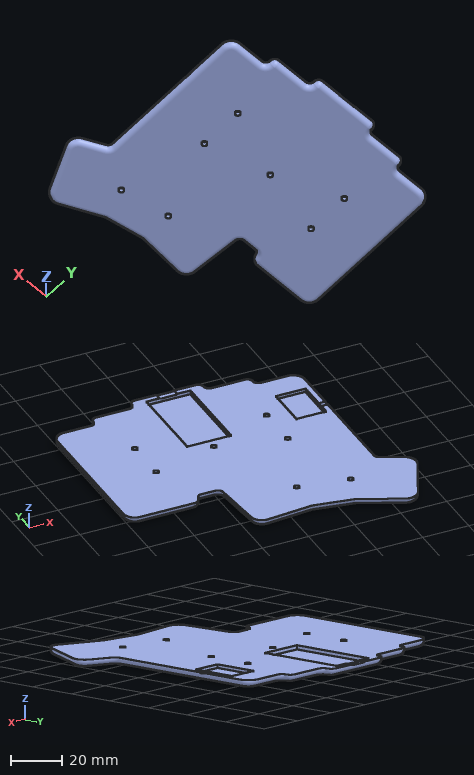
import cadquery as cq
import math

thickness = 3.0
bottom_round = 2.4

columns = 5
rows = 3
grid_width = 95.3
pitch = grid_width / columns
stagger = pitch / 4
border = 6.0
corner_radius = 5.0
step_radius = 2.3

left = -border
right = grid_width + border
bottom = -border
notch = bottom + stagger
shoulder = rows * pitch + border
upper = shoulder + stagger
top = upper + stagger

notch_outer_x = 24.6
notch_inner_x = 26.3
notch_radius = 3.0

wall = 2.9
pocket_start = 32.9
top_pocket_column = 2
top_pocket_depth = 1.7
side_pocket_width = 12.9
side_pocket_length = 18.7
side_pocket_depth = 1.5

channel_depth = 0.3
port_width = 7.7
port_end_radius = 1.6
cable_diameter = 4.7
cable_y = 38.4

hole_diameter = 2.2
hole_columns = (1, 4)
hole_rows = (1, 2)
thumb_holes = [(63.8, -12.5), (85.4, -16.4)]

outline = [
    (left, bottom, corner_radius),
    (notch_outer_x, bottom, notch_radius),
    (notch_inner_x, notch, step_radius),
    (36.0, notch, step_radius),
    (38.4, -29.7, corner_radius),
    (63.5, -27.6, 0),
    (80.7, -30.6, 0),
    (103.0, -40.8, corner_radius),
    (116.1, -12.9, corner_radius),
    (right, -5.9, step_radius),
    (right, shoulder, corner_radius),
    (4 * pitch + border, shoulder, step_radius),
    (4 * pitch + border, upper, step_radius),
    (3 * pitch + border, upper, step_radius),
    (3 * pitch + border, top, step_radius),
    (2 * pitch - border, top, step_radius),
    (2 * pitch - border, upper, step_radius),
    (pitch - border, upper, step_radius),
    (pitch - border, shoulder, step_radius),
    (left, shoulder, corner_radius),
]


def rounded_polygon(corners):
    """Closed outline through the corners, each rounded by a tangent arc of its own radius."""
    path = cq.Workplane("XY")
    for i, (x, y, radius) in enumerate(corners):
        corner = cq.Vector(x, y)
        previous_x, previous_y, _ = corners[i - 1]
        next_x, next_y, _ = corners[(i + 1) % len(corners)]
        to_previous = (cq.Vector(previous_x, previous_y) - corner).normalized()
        to_next = (cq.Vector(next_x, next_y) - corner).normalized()
        half_angle = to_previous.getAngle(to_next) / 2
        tangent_length = radius / math.tan(half_angle)
        arc_start = corner + to_previous * tangent_length
        arc_end = corner + to_next * tangent_length
        bisector = (to_previous + to_next).normalized()
        arc_middle = corner + bisector * (radius / math.sin(half_angle) - radius)

        if i == 0:
            path = path.moveTo(arc_start.x, arc_start.y)
        else:
            path = path.lineTo(arc_start.x, arc_start.y)
        if radius > 0:
            path = path.threePointArc((arc_middle.x, arc_middle.y), (arc_end.x, arc_end.y))
    return path.close()


def plate():
    """Flat plate whose bottom edge is rounded all the way round."""
    body = rounded_polygon(outline).extrude(thickness)
    return body.faces("<Z").edges().fillet(bottom_round)


def pocket(x, y, width, length, depth):
    """Cutter for a rectangular pocket with its lower left corner at (x, y)."""
    cutter = cq.Workplane("XY").box(width, length, depth, centered=False)
    return cutter.translate((x, y, thickness - depth))


def channel_axis_height(radius):
    """Height at which a round bottom of this radius dips channel_depth below the top face."""
    return thickness - channel_depth + radius


def port_channel():
    """Cutter for the flat channel with round sides through the top wall."""
    end_height = port_end_radius - channel_depth
    end_reach = math.sqrt(port_end_radius**2 - end_height**2)
    slot_length = port_width + 2 * (port_end_radius - end_reach)
    center = ((top_pocket_column + 0.5) * pitch, top, channel_axis_height(port_end_radius))
    return cq.Workplane("XZ", origin=center).slot2D(slot_length, 2 * port_end_radius).extrude(wall)


def cable_channel():
    """Cutter for the round-bottomed channel through the right wall."""
    radius = cable_diameter / 2
    center = (right - wall, cable_y, channel_axis_height(radius))
    return cq.Workplane("YZ", origin=center).circle(radius).extrude(wall)


def screw_holes():
    """Cutters for the through holes: four in the grid, one in its middle, two by the thumb."""
    points = [(c * pitch, r * pitch + stagger / 2) for c in hole_columns for r in hole_rows]
    points.append((columns * pitch / 2, rows * pitch / 2))
    points += thumb_holes
    return cq.Workplane("XY").pushPoints(points).circle(hole_diameter / 2).extrude(thickness)


top_pocket = pocket(
    top_pocket_column * pitch, pocket_start, pitch, top - wall - pocket_start, top_pocket_depth
)
side_pocket = pocket(
    right - wall - side_pocket_width,
    pocket_start,
    side_pocket_width,
    side_pocket_length,
    side_pocket_depth,
)

result = plate().cut(top_pocket).cut(side_pocket)
result = result.cut(port_channel()).cut(cable_channel()).cut(screw_holes())